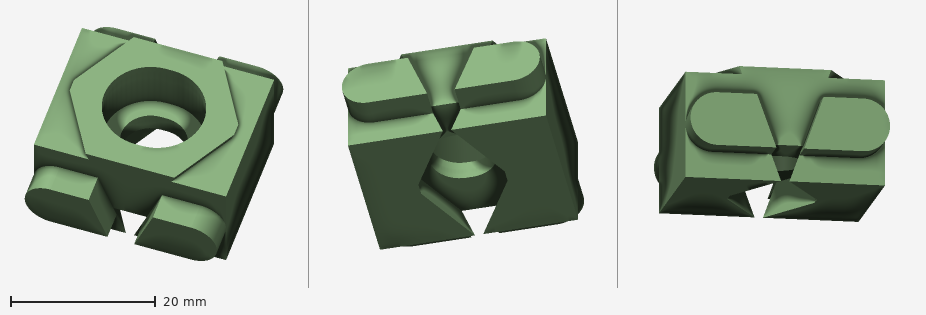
import cadquery as cq
import math

clamp_length = 28.0
body_width = 21.0
ear_span = 29.0
jaw_height = 15.0
wedge_top = 16.12
wedge_height = 11.0

wedge_half_length = 11.98
tip_half_width = 0.93
flank_angle = 30.0
taper_angle = 20.0

slot_travel = 1.0
hole_diameter = 8.5
counterbore_diameter = 13.5
counterbore_depth = 8.0

ear_height = 7.5
ear_center_z = jaw_height / 2

half_body_width = body_width / 2
wedge_bottom = wedge_top - wedge_height


def shoulder_x(tip_x):
    """X where a hexagon flank meets the side of the body."""
    return tip_x - (half_body_width - tip_half_width) * math.tan(math.radians(flank_angle))


def tip_x_at(z):
    """Half length of the tapered hexagon at height z."""
    return wedge_half_length - (wedge_top - z) * math.tan(math.radians(taper_angle))


def hexagon_points(z):
    tip_x = tip_x_at(z)
    side_x = shoulder_x(tip_x)
    return [
        (-side_x, -half_body_width),
        (side_x, -half_body_width),
        (tip_x, -tip_half_width),
        (tip_x, tip_half_width),
        (side_x, half_body_width),
        (-side_x, half_body_width),
        (-tip_x, tip_half_width),
        (-tip_x, -tip_half_width),
    ]


def tapered_hexagon(bottom_z):
    """Hexagon narrowing along X only, from the wedge's top face down to bottom_z."""
    return (
        cq.Workplane("XY", origin=(0, 0, bottom_z))
        .polyline(hexagon_points(bottom_z)).close()
        .workplane(offset=wedge_top - bottom_z)
        .polyline(hexagon_points(wedge_top)).close()
        .loft(ruled=True)
    )


def make_wedge():
    return (
        tapered_hexagon(wedge_bottom)
        .faces(">Z").workplane(origin=(0, 0, wedge_top))
        .slot2D(counterbore_diameter + slot_travel, counterbore_diameter)
        .cutBlind(-counterbore_depth)
        .faces(">Z").workplane(origin=(0, 0, wedge_top))
        .slot2D(hole_diameter + slot_travel, hole_diameter)
        .cutThruAll()
    )


def make_ears():
    """Round-ended bar across the body, its inner end sloping with the wedge's taper."""
    ear_bottom = ear_center_z - ear_height / 2
    ear_top = ear_center_z + ear_height / 2
    outer_x = clamp_length / 2
    arc_center_x = outer_x - ear_height / 2
    return (
        cq.Workplane("XZ")
        .moveTo(shoulder_x(tip_x_at(ear_bottom)), ear_bottom)
        .lineTo(arc_center_x, ear_bottom)
        .threePointArc((outer_x, ear_center_z), (arc_center_x, ear_top))
        .lineTo(shoulder_x(tip_x_at(ear_top)), ear_top)
        .close()
        .extrude(ear_span / 2, both=True)
    )


def make_right_jaw():
    block = cq.Workplane("XY").box(
        clamp_length / 2, body_width, jaw_height, centered=(False, True, False)
    )
    return block.union(make_ears()).cut(tapered_hexagon(0))


wedge = make_wedge()
right_jaw = make_right_jaw()
jaws = [right_jaw.rotate((0, 0, 0), (0, 0, 1), turn).val() for turn in (0, 180)]

result = cq.Compound.makeCompound([wedge.val(), *jaws])